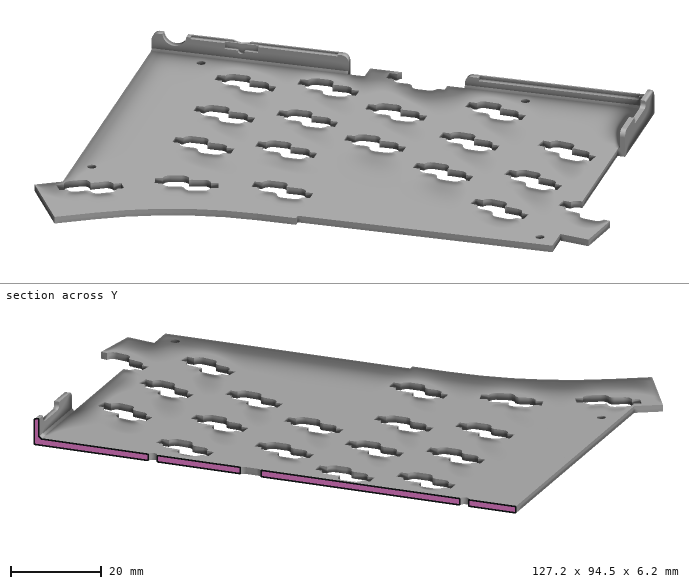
import cadquery as cq
import math

PLATE_X = 113.0
PLATE_Y = 75.0
PLATE_THICKNESS = 1.6

CUT_HEIGHT = 10.0

ROW_PITCH = 17.08
LOBE_OFFSET_X = 2.4
LOBE_OFFSET_Y = 1.1
LOBE_WIDTH = 5.8
LOBE_HEIGHT = 5.75
LOBE_CORNER_RADIUS = 1.6
LOBE_JUNCTION_RADIUS = 1.2
PAD_REACH = 7.05
PAD_HEIGHT = 2.75
PAD_OFFSET_Y = 1.2

COLUMNS = [
    (24.6, 64.35, 0.0, 3),
    (42.78, 67.1, 0.0, 3),
    (60.74, 75.55, 0.0, 3),
    (81.6, 65.1, -4.0, 3),
    (102.44, 49.15, -10.0, 3),
    (115.4, 19.8, -10.0, 1),
]
EDGE_KEY = COLUMNS[-1][:3]

INNER_THUMB = (47.72, 12.25, 0.0)
MIDDLE_THUMB = (26.5, 10.0, 15.0)
OUTER_THUMB = (6.57, 2.43, 30.0)
KEY_TO_EDGE = 13.6
KEY_HALF_WIDTH = 7.0

OUTER_THUMB_REACH = 11.6
OUTER_THUMB_SHOULDER = 4.1
THUMB_ARC_RADIUS = 69.4
EDGE_TAB_REACH = 6.84
EDGE_TAB_TOP = -1.9
TOP_TAB_LEFT = 48.9
TOP_TAB_RIGHT = 56.6
TOP_TAB_Y = 79.31

SCREW_DIAMETER = 2.0
SCREW_POINTS = [(12.3, 72.0), (86.5, 72.0), (4.0, 12.7), (109.1, 3.7)]

FOOT_BEVEL = 0.5
BACK_WALL_THICKNESS = 1.6
END_WALL_THICKNESS = 1.2
WALL_CORNER_RADIUS = 1.5
WALL_RIDGE = 0.4
BACK_INNER_Y = PLATE_Y + FOOT_BEVEL
BACK_OUTER_Y = BACK_INNER_Y + BACK_WALL_THICKNESS
END_INNER_X = PLATE_X + FOOT_BEVEL
END_OUTER_X = END_INNER_X + END_WALL_THICKNESS

LEFT_WALL_LENGTH = 45.0
LEFT_WALL_TOP = 5.8
CABLE_NOTCH_X = 5.2
CABLE_NOTCH_RADIUS = 2.75
CABLE_NOTCH_DEPTH = 2.5
LEFT_REBATE_START = 8.85
LEFT_REBATE_END = 42.5
LEFT_REBATE_DEPTH = 0.4
PLUG_X = 20.5
PLUG_POCKET_WIDTH = 7.7
PLUG_POCKET_DEPTH = 1.8
PLUG_WEB = 0.8
PLUG_DIP_RADIUS = 4.5
PLUG_DIP_DEPTH = 0.5
PLUG_GROOVE_RADIUS = 0.8

RIGHT_WALL_START = 71.7
RIGHT_WALL_TOP = 4.2
RIGHT_REBATE_START = 74.8
RIGHT_REBATE_END = 111.5
RIGHT_REBATE_DEPTH = 0.8

END_WALL_START_Y = 52.9
END_WALL_TOP = 6.2
END_WALL_BACK_RADIUS = 2.0
END_NOTCH_Y = 65.05
END_NOTCH_WIDTH = 9.3
END_NOTCH_DEPTH = 1.65
END_NOTCH_RADIUS = 1.0
OUTSIDE_CORNER_RADIUS = 0.5


def block(x0, x1, y0, y1, z0, z1):
    """Box given by its limits along the three axes."""
    return cq.Workplane("XY").box(x1 - x0, y1 - y0, z1 - z0, centered=False).translate((x0, y0, z0))


def rod_along_y(x, z, radius):
    """Round cutter crossing the back walls."""
    length = BACK_OUTER_Y - PLATE_Y
    return cq.Workplane("XZ", origin=(x, BACK_OUTER_Y, z)).circle(radius).extrude(length)


def key_point(key, along, across):
    """Point given in a tilted key's own directions, in plate coordinates."""
    x, y, tilt = key
    c, s = math.cos(math.radians(tilt)), math.sin(math.radians(tilt))
    return (x + along * c - across * s, y + along * s + across * c)


def socket_cutter():
    """Two staggered rounded lobes, each with a contact pad on its outer side."""
    cutter = None
    for side in (-1, 1):
        lobe = (
            cq.Workplane("XY")
            .rect(LOBE_WIDTH, LOBE_HEIGHT)
            .extrude(PLATE_THICKNESS)
            .edges("|Z")
            .fillet(LOBE_CORNER_RADIUS)
            .translate((side * LOBE_OFFSET_X, -side * LOBE_OFFSET_Y, 0))
        )
        pad = (
            cq.Workplane("XY")
            .center(side * PAD_REACH / 2, -side * PAD_OFFSET_Y)
            .rect(PAD_REACH, PAD_HEIGHT)
            .extrude(PLATE_THICKNESS)
        )
        cutter = lobe.union(pad) if cutter is None else cutter.union(lobe).union(pad)
    junction_x = LOBE_OFFSET_X - LOBE_WIDTH / 2
    junction_y = LOBE_OFFSET_Y - LOBE_HEIGHT / 2
    lower_edge = cq.selectors.NearestToPointSelector((junction_x, junction_y, PLATE_THICKNESS / 2))
    return cutter.edges("|Z").edges(lower_edge).fillet(LOBE_JUNCTION_RADIUS)


def socket_places():
    """X, Y and tilt of every socket opening."""
    places = [INNER_THUMB, MIDDLE_THUMB, OUTER_THUMB]
    for x, y, tilt, count in COLUMNS:
        for row in range(count):
            places.append((*key_point((x, y, tilt), 0, -row * ROW_PITCH), tilt))
    return places


def thumb_area():
    """Plate under the thumb keys: its lower edge bends by one arc from tilted to straight."""
    tilt = math.radians(OUTER_THUMB[2])
    shoulder = key_point(OUTER_THUMB, -OUTER_THUMB_REACH, OUTER_THUMB_SHOULDER)
    tip = key_point(OUTER_THUMB, -OUTER_THUMB_REACH, -KEY_TO_EDGE)
    right_x = INNER_THUMB[0] + KEY_HALF_WIDTH
    lower_y = INNER_THUMB[1] - KEY_TO_EDGE
    centre_y = lower_y - THUMB_ARC_RADIUS
    rise = THUMB_ARC_RADIUS + (centre_y - tip[1]) * math.cos(tilt)
    centre_x = tip[0] + rise / math.sin(tilt)

    def arc_point(angle):
        return (
            centre_x - THUMB_ARC_RADIUS * math.sin(angle),
            centre_y + THUMB_ARC_RADIUS * math.cos(angle),
        )

    inside_y = shoulder[1] - shoulder[0] * math.tan(tilt)
    return (
        cq.Workplane("XY")
        .moveTo(*shoulder)
        .lineTo(*tip)
        .lineTo(*arc_point(tilt))
        .threePointArc(arc_point(tilt / 2), arc_point(0))
        .lineTo(right_x, lower_y)
        .lineTo(right_x, inside_y)
        .lineTo(0, inside_y)
        .close()
        .extrude(PLATE_THICKNESS)
    )


def edge_tab():
    """Tilted tab on the right side, under the outermost key."""
    limits = [
        (-KEY_HALF_WIDTH, -KEY_TO_EDGE),
        (EDGE_TAB_REACH, -KEY_TO_EDGE),
        (EDGE_TAB_REACH, EDGE_TAB_TOP),
        (-KEY_HALF_WIDTH, EDGE_TAB_TOP),
    ]
    corners = [key_point(EDGE_KEY, along, across) for along, across in limits]
    return cq.Workplane("XY").polyline(corners).close().extrude(PLATE_THICKNESS)


def plate():
    body = block(0, PLATE_X, 0, PLATE_Y, 0, PLATE_THICKNESS)
    body = body.union(thumb_area()).union(edge_tab())
    body = body.union(block(TOP_TAB_LEFT, TOP_TAB_RIGHT, PLATE_Y, TOP_TAB_Y, 0, PLATE_THICKNESS))
    socket = socket_cutter()
    for x, y, tilt in socket_places():
        body = body.cut(socket.rotate((0, 0, 0), (0, 0, 1), tilt).translate((x, y, 0)))
    screws = cq.Workplane("XY").pushPoints(SCREW_POINTS).circle(SCREW_DIAMETER / 2).extrude(PLATE_THICKNESS)
    return body.cut(screws)


def wall(plane, top, thickness, length):
    """Straight wall with a beveled foot; the plane's first direction points away from the plate."""
    outer = FOOT_BEVEL + thickness
    section = [
        (0, 0),
        (outer, 0),
        (outer, top),
        (FOOT_BEVEL, top),
        (FOOT_BEVEL, PLATE_THICKNESS + FOOT_BEVEL),
        (0, PLATE_THICKNESS),
    ]
    return cq.Workplane(plane).polyline(section).close().extrude(length)


def back_wall(start_x, top, length):
    plane = cq.Plane(origin=(start_x, PLATE_Y, 0), xDir=(0, 1, 0), normal=(1, 0, 0))
    return wall(plane, top, BACK_WALL_THICKNESS, length)


def rebate(start_x, end_x, top, depth):
    """Step along the inside of a back wall's top, leaving a thin ridge outside."""
    return block(start_x, end_x, PLATE_Y, BACK_OUTER_Y - WALL_RIDGE, top - depth, CUT_HEIGHT)


def left_wall():
    body = back_wall(0, LEFT_WALL_TOP, LEFT_WALL_LENGTH)
    body = body.edges("|Y and >Z").fillet(WALL_CORNER_RADIUS)
    notch_z = LEFT_WALL_TOP - CABLE_NOTCH_DEPTH + CABLE_NOTCH_RADIUS
    body = body.cut(rod_along_y(CABLE_NOTCH_X, notch_z, CABLE_NOTCH_RADIUS))
    body = body.cut(rebate(LEFT_REBATE_START, LEFT_REBATE_END, LEFT_WALL_TOP, LEFT_REBATE_DEPTH))
    pocket_floor = LEFT_WALL_TOP - PLUG_POCKET_DEPTH
    pocket_outer_y = BACK_OUTER_Y - PLUG_WEB
    half_width = PLUG_POCKET_WIDTH / 2
    pocket = block(
        PLUG_X - half_width, PLUG_X + half_width, PLATE_Y, pocket_outer_y, pocket_floor, CUT_HEIGHT
    )
    groove = rod_along_y(PLUG_X, pocket_floor, PLUG_GROOVE_RADIUS)
    groove = groove.cut(block(0, LEFT_WALL_LENGTH, pocket_outer_y, BACK_OUTER_Y, 0, CUT_HEIGHT))
    dip = rod_along_y(PLUG_X, LEFT_WALL_TOP - PLUG_DIP_DEPTH + PLUG_DIP_RADIUS, PLUG_DIP_RADIUS)
    return body.cut(pocket).cut(groove).cut(dip)


def right_wall():
    body = back_wall(RIGHT_WALL_START, RIGHT_WALL_TOP, END_INNER_X - RIGHT_WALL_START)
    body = body.edges("|Y and >Z and <X").fillet(WALL_CORNER_RADIUS)
    return body.cut(rebate(RIGHT_REBATE_START, RIGHT_REBATE_END, RIGHT_WALL_TOP, RIGHT_REBATE_DEPTH))


def end_wall():
    plane = cq.Plane(origin=(PLATE_X, BACK_OUTER_Y, 0), xDir=(1, 0, 0), normal=(0, -1, 0))
    body = wall(plane, END_WALL_TOP, END_WALL_THICKNESS, BACK_OUTER_Y - END_WALL_START_Y)
    body = body.edges("|X and >Z and <Y").fillet(WALL_CORNER_RADIUS)
    body = body.edges("|X and >Z and >Y").fillet(END_WALL_BACK_RADIUS)
    half_width = END_NOTCH_WIDTH / 2
    notch_floor = END_WALL_TOP - END_NOTCH_DEPTH
    notch = block(
        PLATE_X, END_OUTER_X, END_NOTCH_Y - half_width, END_NOTCH_Y + half_width, notch_floor, CUT_HEIGHT
    )
    body = body.cut(notch.edges("|X and <Z").fillet(END_NOTCH_RADIUS))
    return body.edges("|Z and >X and >Y").fillet(OUTSIDE_CORNER_RADIUS)


result = plate().union(left_wall()).union(right_wall()).union(end_wall())